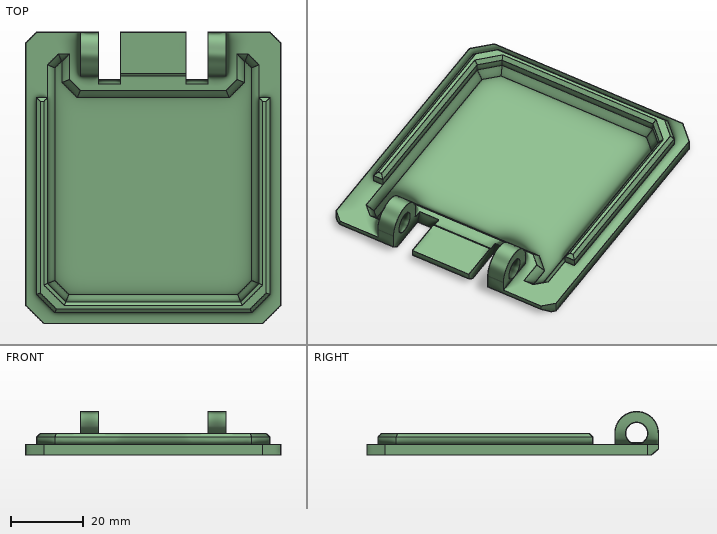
import cadquery as cq
import math

width = 70.0
length = 80.0
plate_thickness = 3.0
front_corner = 5.0
back_corner = 3.0
back_bevel_run = 2.0
back_bevel_rise = 1.7

rim_inset = 3.0
rim_height = 3.0
rim_chamfer = 1.0
rim_back_setback = 18.0

recess_inset = 6.0
recess_depth = 2.0
recess_wall_run = 2.0
recess_arm_inner_x = 23.0
recess_step_setback = 16.0
recess_step_corner = 3.0

ear_radius = 6.0
ear_hole_diameter = 6.0
ear_inner_x = 15.0
ear_width = 5.0
gap_inner_x = 9.0
gap_setback_top = 14.2
gap_setback_bottom = 13.0
pad_height = 0.5
pad_slope_run = 0.6

back_y = length / 2
front_y = -length / 2
axis_y = back_y - ear_radius
axis_z = plate_thickness + ear_hole_diameter / 2
recess_half_width = width / 2 - recess_inset
recess_front_y = front_y + recess_inset


def side_prism(points, x_start, x_length):
    """Extrude a YZ outline along +X."""
    return cq.Workplane("YZ", origin=(x_start, 0, 0)).polyline(points).close().extrude(x_length)


def front_cornered_outline(half_width, y_front, y_back, corner):
    """Points of a rectangle with its two front corners cut at 45 degrees."""
    return [
        (-half_width, y_back),
        (-half_width, y_front + corner),
        (-half_width + corner, y_front),
        (half_width - corner, y_front),
        (half_width, y_front + corner),
        (half_width, y_back),
    ]


def make_plate():
    plate = cq.Workplane("XY").box(width, length, plate_thickness, centered=(True, True, False))
    plate = plate.edges("|Z and <Y").chamfer(front_corner)
    plate = plate.edges("|Z and >Y").chamfer(back_corner)
    bevel = [(back_y - back_bevel_run, 0), (back_y, 0), (back_y, back_bevel_rise)]
    return plate.cut(side_prism(bevel, -width / 2, width))


def make_rim():
    rim_back_y = back_y - rim_back_setback
    outline = front_cornered_outline(
        width / 2 - rim_inset, front_y + rim_inset, rim_back_y, front_corner
    )
    rim = cq.Workplane("XY").workplane(offset=plate_thickness).polyline(outline).close()
    rim = rim.extrude(rim_height)

    opening_outline = front_cornered_outline(
        recess_half_width, recess_front_y, back_y, front_corner
    )
    opening = cq.Workplane("XY").workplane(offset=plate_thickness).polyline(opening_outline).close()
    rim = rim.cut(opening.extrude(rim_height))
    return rim.faces(">Z").chamfer(rim_chamfer)


def recess_outline(inset):
    """Recess edge moved inward by inset, keeping every side parallel."""
    corner_change = inset * (2 - math.sqrt(2))
    outer_x = recess_half_width - inset
    arm_inner_x = recess_arm_inner_x + inset
    arm_back_y = back_y - recess_inset - inset
    step_y = back_y - recess_step_setback - inset
    recess_near_y = recess_front_y + inset
    step_cut = recess_step_corner + corner_change
    back_cut = back_corner - corner_change
    front_cut = front_corner - corner_change
    left_half = [
        (-arm_inner_x + step_cut, step_y),
        (-arm_inner_x, step_y + step_cut),
        (-arm_inner_x, arm_back_y),
        (-outer_x + back_cut, arm_back_y),
        (-outer_x, arm_back_y - back_cut),
        (-outer_x, recess_near_y + front_cut),
        (-outer_x + front_cut, recess_near_y),
    ]
    right_half = [(-x, y) for x, y in reversed(left_half)]
    return left_half + right_half


def make_recess():
    """Pocket with flat sloping walls, whose two arms flank the hinge."""
    floor_z = plate_thickness - recess_depth
    recess = cq.Workplane("XY").workplane(offset=floor_z)
    recess = recess.polyline(recess_outline(recess_wall_run)).close()
    recess = recess.workplane(offset=recess_depth).polyline(recess_outline(0)).close()
    return recess.loft(ruled=True)


def make_pad():
    pad_front_y = back_y - 2 * ear_radius
    pad_top_z = plate_thickness + pad_height
    profile = [
        (pad_front_y, plate_thickness),
        (back_y, plate_thickness),
        (back_y, pad_top_z),
        (pad_front_y + pad_slope_run, pad_top_z),
    ]
    return side_prism(profile, -gap_inner_x, 2 * gap_inner_x)


def make_gap(x_start):
    """Through slot with a sloping end wall."""
    profile = [
        (back_y, 0),
        (back_y - gap_setback_bottom, 0),
        (back_y - gap_setback_top, plate_thickness),
        (back_y, plate_thickness),
    ]
    return side_prism(profile, x_start, ear_inner_x - gap_inner_x)


def make_ear(x_start):
    ear = (
        cq.Workplane("YZ", origin=(x_start, 0, 0))
        .moveTo(axis_y - ear_radius, plate_thickness)
        .lineTo(axis_y - ear_radius, axis_z)
        .threePointArc((axis_y, axis_z + ear_radius), (back_y, axis_z))
        .lineTo(back_y, plate_thickness)
        .close()
        .extrude(ear_width)
    )
    hole = cq.Workplane("YZ", origin=(x_start, axis_y, axis_z)).circle(ear_hole_diameter / 2)
    return ear.cut(hole.extrude(ear_width))


result = make_plate().cut(make_recess()).union(make_rim()).union(make_pad())
for gap_x in (-ear_inner_x, gap_inner_x):
    result = result.cut(make_gap(gap_x))
for ear_x in (-ear_inner_x - ear_width, ear_inner_x):
    result = result.union(make_ear(ear_x))